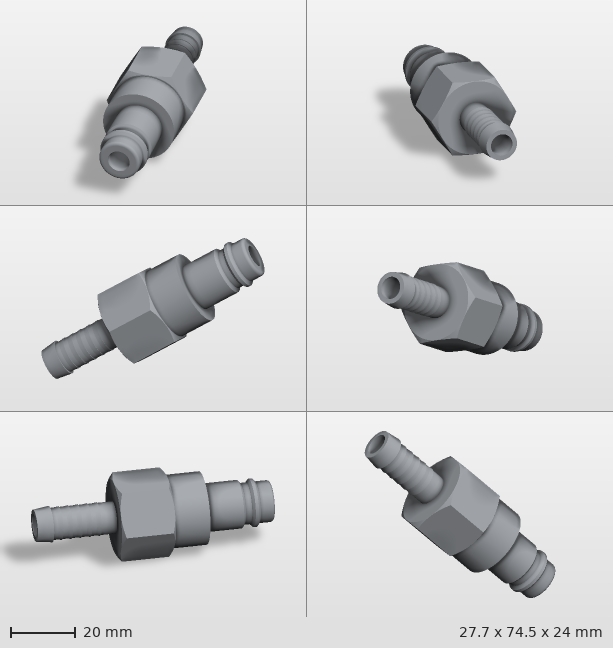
import cadquery as cq
import math

total_length = 74.5
barb_length = 5.0
ridges_end = 20.05
hex_start = 24.95
hex_end = 42.0
collar_end = 53.0
neck_end = 65.3
rib_start = 67.2
rib_end = 70.0

tail_radius = 5.0
barb_radius = 5.65
ridge_radius = 5.2
ridge_count = 5
ridge_pitch = (ridges_end - barb_length) / ridge_count

across_flats = 24.0
across_corners = across_flats / math.cos(math.radians(30))
bevel_face_radius = 11.9
bevel_angle = 30.0

collar_radius = 11.4
neck_radius = 7.5
plug_radius = 6.5
step_bevel = neck_radius - plug_radius
step_bevel_length = 0.9
tip_rounding = 1.0
bore_radius = 3.5


def revolve_profile(points):
    """Revolve (radius, station) points about the part axis, closing along the axis."""
    first_station = points[0][1]
    last_station = points[-1][1]
    outline = [(0, first_station)] + points + [(0, last_station)]
    mapped = [(radius, total_length / 2 - station) for radius, station in outline]
    return cq.Workplane("XY").polyline(mapped).close().revolve(360, (0, 0, 0), (0, 1, 0))


def make_tail():
    """Hose tail with a tapered end barb followed by small saw-tooth ridges."""
    points = [(tail_radius, 0), (barb_radius, barb_length), (tail_radius, barb_length)]
    for index in range(ridge_count):
        start = barb_length + index * ridge_pitch
        crest = start + ridge_pitch
        points += [
            (tail_radius, start + ridge_pitch / 2),
            (ridge_radius, crest),
            (tail_radius, crest),
        ]
    points.append((tail_radius, hex_start))
    return revolve_profile(points)


def make_hex():
    """Hexagon with corners on the X axis and both ends bevelled."""
    prism = (
        cq.Workplane("XZ", origin=(0, total_length / 2 - hex_start, 0))
        .polygon(6, across_corners)
        .extrude(hex_end - hex_start)
    )
    corner_radius = across_corners / 2
    bevel_length = (corner_radius - bevel_face_radius) * math.tan(math.radians(bevel_angle))
    envelope = revolve_profile([
        (bevel_face_radius, hex_start),
        (corner_radius, hex_start + bevel_length),
        (corner_radius, hex_end - bevel_length),
        (bevel_face_radius, hex_end),
    ])
    return prism.intersect(envelope)


def make_plug():
    """Collar, neck, locking groove, rib and rounded tip."""
    return revolve_profile([
        (collar_radius, hex_end),
        (collar_radius, collar_end),
        (neck_radius, collar_end),
        (neck_radius, neck_end - step_bevel_length),
        (plug_radius, neck_end),
        (plug_radius, rib_start),
        (plug_radius + step_bevel, rib_start + step_bevel_length),
        (plug_radius + step_bevel, rib_end - step_bevel_length),
        (plug_radius, rib_end),
        (plug_radius, total_length),
    ]).faces("<Y").edges().fillet(tip_rounding)


bore = cq.Workplane("XZ").circle(bore_radius).extrude(total_length / 2, both=True)
result = make_tail().union(make_hex()).union(make_plug()).cut(bore)